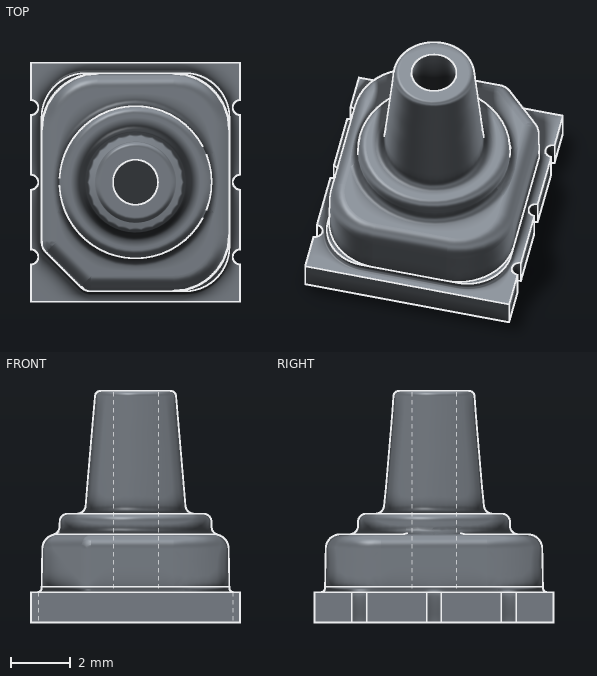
import cadquery as cq

base_width = 7.0
base_length = 8.0
base_height = 1.02
notch_radius = 0.25
notch_pitch = 2.5

cap_width = 6.29
cap_length = 7.3
cap_top = 2.96
cap_corner_radius = 1.88
cap_draft = 1.0
cap_edge_radius = 0.5
bevel_size = 1.46
bevel_radius = 0.5
skirt_top = 1.2
skirt_corner_radius = 1.5
skirt_fillet = 0.13

collar_radius = 2.54
collar_top = 3.65
collar_edge_radius = 0.28
collar_foot_fillet = 0.27
tube_top = 7.75
tube_top_radius = 1.34
tube_root_radius = 1.7
tube_edge_radius = 0.19
tube_root_fillet = 0.28
bore_radius = 0.75


pick_margin = 0.01


def edges_at(half_x, half_y, height):
    """Select edges lying flat at one height, within the given half sizes."""
    return cq.selectors.BoxSelector(
        (-half_x - pick_margin, -half_y - pick_margin, height - pick_margin),
        (half_x + pick_margin, half_y + pick_margin, height + pick_margin),
        boundingbox=True,
    )


def cap_prism(corner_radius, top, draft=0):
    """Rounded prism on the base, bevelled at its -X, -Y corner."""
    half_width = cap_width / 2
    half_length = cap_length / 2
    corners = [
        (-half_width, half_length),
        (half_width, half_length),
        (half_width, -half_length),
        (-half_width + bevel_size, -half_length),
        (-half_width, -half_length + bevel_size),
    ]
    height = top - base_height
    prism = cq.Workplane("XY").workplane(offset=base_height).polyline(corners).close().extrude(height)
    prism = prism.edges("|Z and (>X or >Y)").fillet(corner_radius)
    prism = prism.edges("|Z").edges("<(1, 1, 0)").fillet(bevel_radius)
    outline = prism.faces("<Z").wires().val()
    return cq.Workplane("XY").add(outline).toPending().extrude(height, taper=draft)


def make_base():
    return cq.Workplane("XY").box(base_width, base_length, base_height, centered=(True, True, False))


def make_cap():
    cap = cap_prism(cap_corner_radius, cap_top, cap_draft)
    return cap.faces(">Z").edges().fillet(cap_edge_radius)


def add_skirt(base):
    skirt = cap_prism(skirt_corner_radius, skirt_top)
    joined = base.union(skirt)
    return joined.edges(edges_at(cap_width / 2, cap_length / 2, base_height)).fillet(skirt_fillet)


def make_collar():
    collar = cq.Workplane("XY").workplane(offset=base_height).circle(collar_radius)
    collar = collar.extrude(collar_top - base_height)
    return collar.faces(">Z").edges().fillet(collar_edge_radius)


def make_tube():
    profile = [
        (0, base_height),
        (tube_root_radius, base_height),
        (tube_root_radius, collar_top),
        (tube_top_radius, tube_top),
        (0, tube_top),
    ]
    tube = cq.Workplane("XZ").polyline(profile).close().revolve(360, (0, 0), (0, 1))
    return tube.faces(">Z").edges().fillet(tube_edge_radius)


def cut_notches(body):
    places = [(side * base_width / 2, row * notch_pitch) for side in (-1, 1) for row in (-1, 0, 1)]
    notches = cq.Workplane("XY").pushPoints(places).circle(notch_radius).extrude(skirt_top)
    return body.cut(notches)


cover = make_cap().union(make_collar())
cover = cover.edges(edges_at(collar_radius, collar_radius, cap_top)).fillet(collar_foot_fillet)
cover = cover.union(make_tube())
cover = cover.edges(edges_at(tube_root_radius, tube_root_radius, collar_top)).fillet(tube_root_fillet)
body = add_skirt(make_base()).union(cover)
body = cut_notches(body)
bore = cq.Workplane("XY").workplane(offset=base_height).circle(bore_radius).extrude(tube_top - base_height)
result = body.cut(bore)